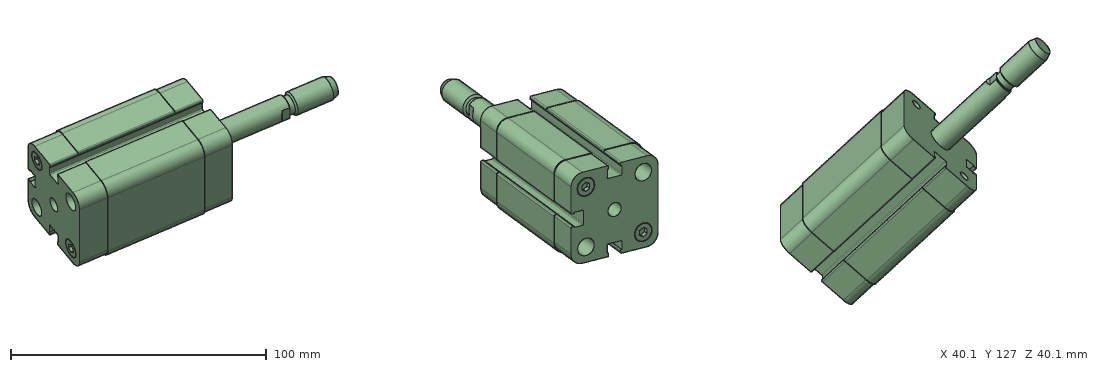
import cadquery as cq
import math

TOTAL_LENGTH = 127.0

BODY_LENGTH = 69.5
BARREL_SIDE = 40.1
CAP_SIDE = 39.5
CAP_LENGTH = 12.7
CORNER_RADIUS = 5.1

SLOT_MOUTH_WIDTH = 5.5
SLOT_MOUTH_DEPTH = 1.9
SLOT_WIDTH = 6.5
SLOT_DEPTH = 5.8
LIP_RADIUS = 0.5
SLOT_INNER_RADIUS = 0.4

CORNER_PITCH = 26.0
THROUGH_DIAMETER = 4.2
COUNTERBORE_DIAMETER = 7.5
COUNTERBORE_DEPTH = 10.0
SCREW_POCKET_DIAMETER = 8.0
SCREW_HEAD_DIAMETER = 7.5
SCREW_POCKET_DEPTH = 3.8
HEX_ACROSS_FLATS = 3.4
HEX_DEPTH = 2.0

CENTER_HOLE_DIAMETER = 6.0
CENTER_HOLE_DEPTH = 10.0

ROD_DIAMETER = 10.0
NECK_DIAMETER = 8.0
TIP_DIAMETER = 8.0
TIP_LENGTH = 2.8
THREAD_LENGTH = 18.9
NECK_LENGTH = 3.0
THREAD_RUNOUT = 0.6
SHOULDER_CHAMFER = 0.3
FLAT_WIDTH = 8.0
FLAT_LENGTH = 3.5

HALF_PITCH = CORNER_PITCH / 2
THREAD_START = TOTAL_LENGTH - THREAD_LENGTH
SHOULDER = THREAD_START - NECK_LENGTH


def plane_at(y):
    """Sketch plane at a given Y with local x = X, local y = Z and normal = -Y."""
    return cq.Workplane("XZ", origin=(0, y, 0))


def slot_cutter(side, y_start, length):
    """Slot opening to +Z in a square section of the given side, with a flared mouth."""
    surface = side / 2
    slot_bottom = BARREL_SIDE / 2 - SLOT_DEPTH
    lip_bottom = BARREL_SIDE / 2 - SLOT_MOUTH_DEPTH
    half_mouth = SLOT_MOUTH_WIDTH / 2
    half_slot = SLOT_WIDTH / 2
    half_outside = half_mouth + 2 * LIP_RADIUS
    top = surface + 2 * LIP_RADIUS
    right_half = [
        (half_slot, slot_bottom),
        (half_slot, lip_bottom),
        (half_mouth, lip_bottom),
        (half_mouth, surface),
        (half_outside, surface),
        (half_outside, top),
    ]
    left_half = [(-x, z) for x, z in reversed(right_half)]
    cutter = plane_at(y_start).polyline(right_half + left_half).close().extrude(-length)

    def lengthwise_edges(half_width, z):
        middle = y_start + length / 2
        left = cq.selectors.NearestToPointSelector((-half_width, middle, z))
        right = cq.selectors.NearestToPointSelector((half_width, middle, z))
        return left + right

    cutter = cutter.edges(lengthwise_edges(half_mouth, surface)).fillet(LIP_RADIUS)
    cutter = cutter.edges(lengthwise_edges(half_mouth, lip_bottom)).fillet(SLOT_INNER_RADIUS)
    return cutter.edges(lengthwise_edges(half_slot, slot_bottom)).fillet(SLOT_INNER_RADIUS)


def slotted_section(side, y_start, length):
    """Rounded square length of the body with its sensor slots."""
    section = plane_at(y_start).rect(side, side).extrude(-length)
    section = section.edges("|Y").fillet(CORNER_RADIUS)
    cutter = slot_cutter(side, y_start, length)
    for angle in (0, 180, -90):
        section = section.cut(cutter.rotate((0, 0, 0), (0, 1, 0), angle))
    return section


def make_body():
    barrel_length = BODY_LENGTH - 2 * CAP_LENGTH
    front_cap = slotted_section(CAP_SIDE, 0, CAP_LENGTH)
    barrel = slotted_section(BARREL_SIDE, CAP_LENGTH, barrel_length)
    rear_cap = slotted_section(CAP_SIDE, BODY_LENGTH - CAP_LENGTH, CAP_LENGTH)
    return front_cap.union(barrel).union(rear_cap)


def cut_front_holes(body):
    through_corners = [(HALF_PITCH, HALF_PITCH), (-HALF_PITCH, -HALF_PITCH)]
    screw_corners = [(-HALF_PITCH, HALF_PITCH), (HALF_PITCH, -HALF_PITCH)]

    front = plane_at(0)
    through_holes = front.pushPoints(through_corners).circle(THROUGH_DIAMETER / 2)
    body = body.cut(through_holes.extrude(-BODY_LENGTH))
    counterbores = front.pushPoints(through_corners).circle(COUNTERBORE_DIAMETER / 2)
    body = body.cut(counterbores.extrude(-COUNTERBORE_DEPTH))
    body = body.cut(front.circle(CENTER_HOLE_DIAMETER / 2).extrude(-CENTER_HOLE_DEPTH))

    screws = front.pushPoints(screw_corners)
    rings = screws.circle(SCREW_POCKET_DIAMETER / 2).circle(SCREW_HEAD_DIAMETER / 2)
    body = body.cut(rings.extrude(-SCREW_POCKET_DEPTH))
    hex_corner_diameter = HEX_ACROSS_FLATS / math.cos(math.pi / 6)
    for x, z in screw_corners:
        socket = front.polygon(6, hex_corner_diameter).extrude(-HEX_DEPTH)
        socket = socket.rotate((0, 0, 0), (0, 1, 0), 90)
        body = body.cut(socket.translate((x, 0, z)))
    return body


def make_rod():
    rod_root = BODY_LENGTH - CAP_LENGTH
    radius = ROD_DIAMETER / 2
    neck_radius = NECK_DIAMETER / 2
    rod = (
        cq.Workplane("XY")
        .moveTo(0, rod_root)
        .lineTo(radius, rod_root)
        .lineTo(radius, SHOULDER - SHOULDER_CHAMFER)
        .lineTo(radius - SHOULDER_CHAMFER, SHOULDER)
        .lineTo(neck_radius, SHOULDER)
        .lineTo(neck_radius, THREAD_START - THREAD_RUNOUT)
        .lineTo(radius, THREAD_START)
        .lineTo(radius, TOTAL_LENGTH - TIP_LENGTH)
        .lineTo(TIP_DIAMETER / 2, TOTAL_LENGTH)
        .lineTo(0, TOTAL_LENGTH)
        .close()
        .revolve(360, (0, 0, 0), (0, 1, 0))
    )
    half_flat = FLAT_WIDTH / 2
    flat_end = SHOULDER - FLAT_LENGTH
    flat_depth = radius - half_flat
    flat = (
        cq.Workplane("XY")
        .moveTo(half_flat, SHOULDER)
        .lineTo(half_flat, flat_end)
        .lineTo(radius, flat_end - flat_depth)
        .lineTo(radius, SHOULDER)
        .close()
        .extrude(radius, both=True)
    )
    return rod.cut(flat).cut(flat.mirror("YZ"))


result = cut_front_holes(make_body()).union(make_rod())